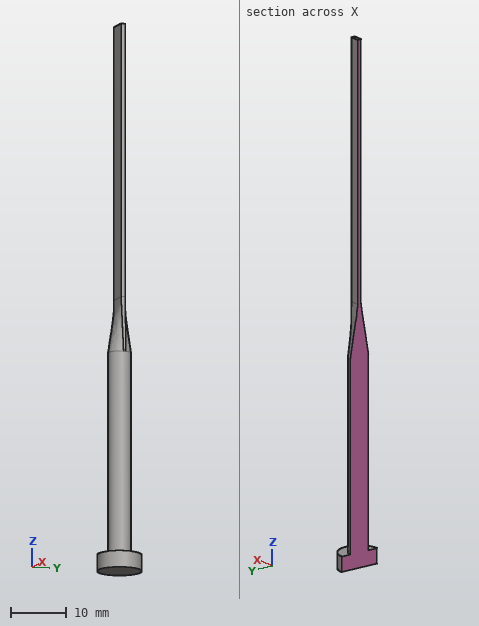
import cadquery as cq

total_length = 100.0
head_diameter = 8.0
head_height = 3.0
shank_diameter = 4.2
shank_top = 40.0
blade_bottom = 50.0
blade_width = 3.8
blade_thickness = 0.8

head = cq.Workplane("XY").circle(head_diameter / 2).extrude(head_height)

shank = (
    cq.Workplane("XY")
    .workplane(offset=head_height)
    .circle(shank_diameter / 2)
    .extrude(shank_top - head_height)
)

transition = (
    cq.Workplane("XY")
    .workplane(offset=shank_top)
    .circle(shank_diameter / 2)
    .workplane(offset=blade_bottom - shank_top)
    .rect(blade_width, blade_thickness)
    .loft(ruled=True)
)

blade = (
    cq.Workplane("XY")
    .workplane(offset=blade_bottom)
    .rect(blade_width, blade_thickness)
    .extrude(total_length - blade_bottom)
)

result = head.union(shank).union(transition).union(blade)